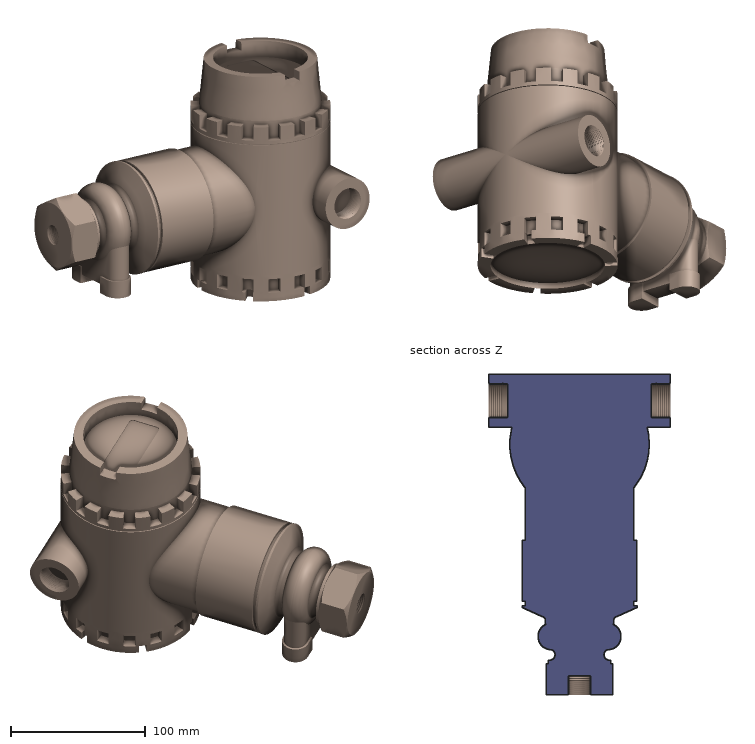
import cadquery as cq
import math


total_length = 238.0
total_height = 173.8
housing_radius = 52.0
housing_bottom = 20.2
housing_top = 123.3

slot_count = 16
slot_angle = 10.0
slot_floor_radius = 45.5
slot_height = 10.7
rim_height = 2.9
ring_height = rim_height + slot_height

lid_gap = 0.7
lid_bottom = housing_top + lid_gap
cone_start = 140.2
cone_top_radius = 42.1
window_radius = 35.2
window_floor_radius = 34.8
window_depth = 12.6
key_slot_width = 12.9
key_slot_depth = 6.7
display_length = 55.5
display_width = 23.8
display_corner = 2.9
display_depth = 0.7

notch_count = 7
notch_width = 5.7
notch_offset_angle = -5.0
base_height = housing_bottom - ring_height
recess_radius = 42.5
recess_depth = 4.5

port_span = 135.2
port_radius = 19.8
port_z = 72.1
port_bore_radius = 12.0
port_bore_turns = 10

sensor_z = port_z
neck_radius = 40.5
sleeve_radius = 42.6
sleeve_start = 71.2
sleeve_end = 116.7
flange_radius = 42.9
flange_start = 119.5
flange_end = 121.2
cone_end = 128.0
cone_end_radius = 27.6
waist_radius = 25.5
waist_start = 130.7
waist_end = 133.3
throat_radius = 18.3
throat_start = 152.5
collar_radius = 23.3
collar_start = 160.0
hex_start = 162.6
hex_end = total_length - housing_radius
hex_across_flats = 50.0
hex_bevel = 4.3
hex_bevel_length = 2.9
hex_bore_radius = 7.6
hex_bore_turns = 10

thread_pitch = 1.5
thread_depth = 0.7

bulge_y = 142.6
bulge_tube_radius = 10.0
leg_x = 21.0
leg_radius = 8.5
leg_bottom = 36.2
web_bottom = 29.5
foot_radius = 10.0
foot_inner_x = 12.9
foot_bottom = 23.0


def disc(radius, z_low, z_high):
    """Cylinder on the housing axis."""
    return cq.Workplane("XY").workplane(offset=z_low).circle(radius).extrude(z_high - z_low)


def rim_slots(z_low):
    """Radial-sided slots around a lid, cut down to the slot floor."""
    half_angle = math.radians(slot_angle / 2)
    reach = 2 * housing_radius
    wedge = (
        cq.Workplane("XY").workplane(offset=z_low)
        .polyline([
            (0, 0),
            (reach * math.cos(half_angle), -reach * math.sin(half_angle)),
            (reach * math.cos(half_angle), reach * math.sin(half_angle)),
        ]).close().extrude(slot_height)
        .cut(disc(slot_floor_radius, z_low, z_low + slot_height))
    )
    slots = cq.Workplane("XY")
    for i in range(slot_count):
        slots = slots.add(wedge.rotate((0, 0, 0), (0, 0, 1), i * 360 / slot_count))
    return slots.combine()


def make_top_lid():
    """Crenellated ring and cone with a display window and two key slots."""
    ring_top = lid_bottom + ring_height
    lid = disc(housing_radius, lid_bottom, ring_top).cut(rim_slots(lid_bottom + rim_height))
    shoulder = disc(slot_floor_radius, housing_top, lid_bottom)
    cap = (
        cq.Workplane("XZ")
        .polyline([
            (0, ring_top), (slot_floor_radius, ring_top), (slot_floor_radius, cone_start),
            (cone_top_radius, total_height), (0, total_height),
        ]).close().revolve(360, (0, 0), (0, 1))
    )
    window_floor = total_height - window_depth
    display = (
        cq.Workplane("XY").workplane(offset=window_floor)
        .rect(display_length, display_width).extrude(-display_depth)
        .edges("|Z").fillet(display_corner)
    )
    key_slot = (
        cq.Workplane("XY").workplane(offset=total_height)
        .rect(2 * housing_radius, key_slot_width).extrude(-key_slot_depth)
    )
    window = (
        cq.Workplane("XZ")
        .polyline([
            (0, window_floor), (window_floor_radius, window_floor),
            (window_radius, total_height), (0, total_height),
        ]).close().revolve(360, (0, 0), (0, 1))
    )
    return lid.union(shoulder).union(cap).cut(window).cut(display).cut(key_slot)


def make_bottom_lid():
    """Ring with closed windows over a base whose rim is notched."""
    lid = disc(housing_radius, 0, housing_bottom)
    lid = lid.cut(rim_slots(base_height))
    lid = lid.cut(disc(recess_radius, 0, recess_depth))
    wall = housing_radius - recess_radius
    notch = (
        cq.Workplane("XY").center(0, -housing_radius)
        .rect(notch_width, 2 * wall).extrude(base_height)
    )
    for i in range(notch_count):
        angle = notch_offset_angle + i * 360 / notch_count
        lid = lid.cut(notch.rotate((0, 0, 0), (0, 0, 1), angle))
    return lid


def make_ports():
    """Side ports, one cylinder across the back of the housing."""
    y = housing_radius - port_radius
    port = cq.Workplane("YZ", origin=(-port_span / 2, 0, 0)).center(y, port_z)
    return port.circle(port_radius).extrude(port_span)


def threaded_bore(radius, turns):
    """Bore from the origin towards +Y with V-shaped thread rings in its wall."""
    profile = [(0, 0), (radius, 0)]
    for i in range(turns):
        profile.append((radius + thread_depth, (i + 0.5) * thread_pitch))
        profile.append((radius, (i + 1) * thread_pitch))
    profile.append((0, turns * thread_pitch))
    return cq.Workplane("XY").polyline(profile).close().revolve(360, (0, 0), (0, 1))


def port_bore(side):
    """Threaded bore of the port at the -X (side = -1) or +X (side = 1) end."""
    bore = threaded_bore(port_bore_radius, port_bore_turns)
    bore = bore.rotate((0, 0, 0), (0, 0, 1), side * 90)
    return bore.translate((side * port_span / 2, housing_radius - port_radius, port_z))


def make_sensor_stem():
    """Turned part of the sensor, from the neck to the collar behind the hex."""
    groove_radius = (collar_start - throat_start) / 2
    groove_end_radius = throat_radius + groove_radius
    profile = (
        cq.Workplane("XY")
        .moveTo(0, -hex_start).lineTo(collar_radius, -hex_start)
        .lineTo(collar_radius, -collar_start).lineTo(groove_end_radius, -collar_start)
        .threePointArc(
            (throat_radius, -throat_start - groove_radius),
            (groove_end_radius, -throat_start),
        )
        .lineTo(groove_end_radius, -waist_end).lineTo(waist_radius, -waist_end)
        .lineTo(waist_radius, -waist_start)
        .tangentArcPoint((cone_end_radius, -cone_end), relative=False)
        .lineTo(flange_radius, -flange_end).lineTo(flange_radius, -flange_start)
        .lineTo(neck_radius, -flange_start).lineTo(neck_radius, -sleeve_end)
        .lineTo(sleeve_radius, -sleeve_end).lineTo(sleeve_radius, -sleeve_start)
        .lineTo(neck_radius, -sleeve_start).lineTo(neck_radius, 0)
        .lineTo(0, 0).close()
    )
    return profile.revolve(360, (0, 0), (0, 1)).translate((0, 0, sensor_z))


def make_hex():
    """Hexagon with corners up and down, turned to a bevel at both ends."""
    corner_radius = hex_across_flats / math.sqrt(3)
    end_radius = corner_radius - hex_bevel
    prism = (
        cq.Workplane("XZ", origin=(0, -hex_start, 0))
        .polygon(6, 2 * corner_radius).extrude(hex_end - hex_start)
        .rotate((0, 0, 0), (0, 1, 0), 30)
    )
    bevel = (
        cq.Workplane("XY")
        .polyline([
            (0, -hex_start), (end_radius, -hex_start),
            (corner_radius, -hex_start - hex_bevel_length),
            (corner_radius, -hex_end + hex_bevel_length),
            (end_radius, -hex_end), (0, -hex_end),
        ]).close().revolve(360, (0, 0), (0, 1))
    )
    bore = threaded_bore(hex_bore_radius, hex_bore_turns).translate((0, -hex_end, 0))
    return prism.intersect(bevel).cut(bore).translate((0, 0, sensor_z))


def make_bulge():
    """Rounded ring around the sensor stem."""
    return (
        cq.Workplane("XY").center(leg_x, -bulge_y).circle(bulge_tube_radius)
        .revolve(360, (-leg_x, 0), (-leg_x, 1))
        .translate((0, 0, sensor_z))
    )


def make_yoke():
    """Two round-edged legs with D-shaped feet, joined by a flat web."""
    yoke = (
        cq.Workplane("XY", origin=(0, -bulge_y, web_bottom))
        .rect(2 * leg_x, 2 * leg_radius).extrude(sensor_z - web_bottom)
    )
    for side in (-1, 1):
        leg = (
            cq.Workplane("XY", origin=(side * leg_x, -bulge_y, leg_bottom))
            .circle(leg_radius).extrude(sensor_z - leg_bottom)
        )
        foot = (
            cq.Workplane("XY", origin=(0, -bulge_y, foot_bottom))
            .moveTo(side * foot_inner_x, -foot_radius).lineTo(side * leg_x, -foot_radius)
            .threePointArc((side * (leg_x + foot_radius), 0), (side * leg_x, foot_radius))
            .lineTo(side * foot_inner_x, foot_radius).close()
            .extrude(leg_bottom - foot_bottom)
        )
        yoke = yoke.union(leg).union(foot)
    return yoke


def make_housing():
    """Housing with its side ports and the sensor as one solid."""
    housing = disc(housing_radius, housing_bottom, housing_top)
    housing = housing.union(make_sensor_stem())
    housing = housing.union(make_bulge())
    housing = housing.union(make_yoke())
    housing = housing.union(make_hex())
    housing = housing.union(make_ports())
    for side in (-1, 1):
        housing = housing.cut(port_bore(side))
    return housing


top_lid = make_top_lid()
housing = make_housing()
bottom_lid = make_bottom_lid()

result = cq.Compound.makeCompound([top_lid.val(), housing.val(), bottom_lid.val()])